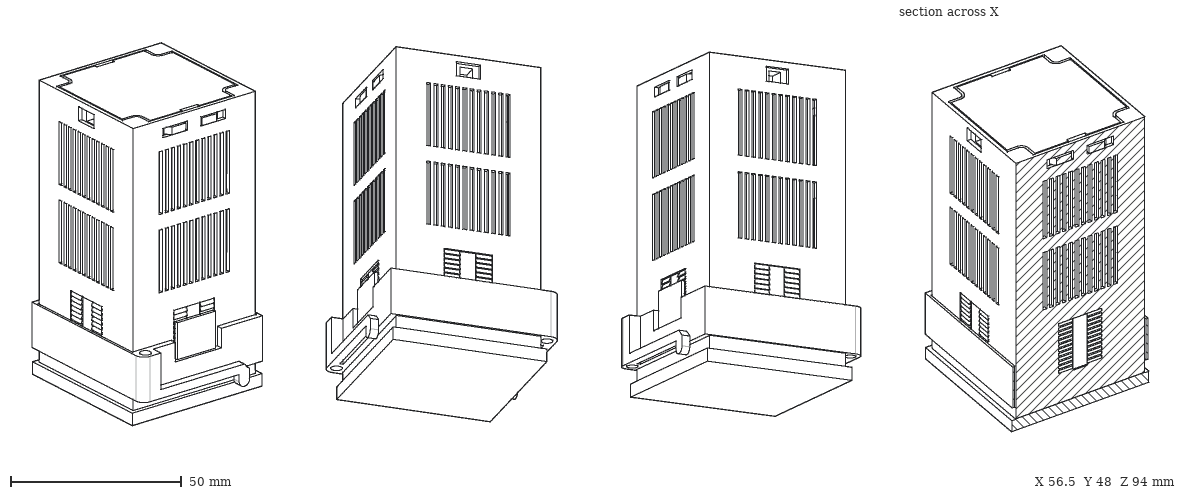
import cadquery as cq

total_height = 94.0

bezel_width = 48.0
bezel_thickness = 4.0

housing_width = 45.2
wall = 1.3
housing_half = housing_width / 2
cavity_half = housing_half - wall

slot_count = 12
slot_pitch = 2.25
slot_width = 1.2
slot_length = 20.0
slot_row_bottoms = (39.0, 64.0)

ratchet_top = 32.0
ratchet_half_width = 7.5
ratchet_center_half_width = 2.5
ratchet_depth = 0.7
tooth_pitch = 1.5
tooth_count = 12

cover_thickness = 8.0
cover_base = total_height - cover_thickness
opening_corner = 15.85
opening_corner_radius = 1.6
cover_gap = 0.4
cover_corner_gap = 0.85
cover_half = cavity_half - cover_gap
cover_corner = opening_corner - cover_corner_gap
cover_corner_radius = opening_corner_radius + cover_corner_gap

pry_half_width = 3.2
pry_run = 0.95
pry_depth = 2.0

latch_window_inner = 2.5
latch_window_outer = 11.6
latch_window_bottom = 88.2
latch_window_top = 91.1
hook_clearance = 0.5
hook_root_end = 9.85
hook_reach = 1.6

release_window_half_width = 3.7
release_window_bottom = 87.5
release_window_top = 92.0
release_pocket_half_width = 1.95
release_pocket_top = 91.2
release_pocket_depth = 5.0

bracket_bottom = 8.25
bracket_top = 22.75
bracket_half_x = 24.6
bracket_half_y = 23.7
bracket_opening_half_y = 22.9
bracket_height = bracket_top - bracket_bottom

notch_half_width = 8.5
notch_bottom = 16.5
tongue_half_width = 7.1
tongue_thickness = 1.05
tongue_top = 28.3

ear_half_x = 28.25
ear_length = 7.0
ear_radius = 2.9
ear_hole_diameter = 3.4
ear_hole_x = 25.4
ear_hole_y = 20.2
arm_thickness = 2.6
arm_top = 11.1
arm_tip_y = 16.1
arm_bevel = 1.9
foot_width = 3.85
foot_bottom = bezel_thickness

board_thickness = 1.6
board_width = 28.0
board_inner_y = 16.0


def box(x0, x1, y0, y1, z0, z1):
    """Box between two opposite corners."""
    return cq.Workplane("XY").box(x1 - x0, y1 - y0, z1 - z0, centered=False).translate((x0, y0, z0))


def turned(shape, angle):
    """Copy turned about the part's Z axis."""
    return shape.rotate((0, 0, 0), (0, 0, 1), angle)


def cross_prism(half, corner, radius, z0, z1):
    """Square prism with a smaller square, rounded inside, cut from each corner."""
    height = z1 - z0
    long_x = cq.Workplane("XY").box(2 * half, 2 * corner, height)
    long_y = cq.Workplane("XY").box(2 * corner, 2 * half, height)
    prism = long_x.union(long_y)
    at_inner_corners = cq.selectors.BoxSelector(
        (-corner - radius, -corner - radius, -height), (corner + radius, corner + radius, height)
    )
    prism = prism.edges("|Z").edges(at_inner_corners).fillet(radius)
    return prism.translate((0, 0, (z0 + z1) / 2))


def vent_slots():
    slots = cq.Workplane("XY")
    for bottom in slot_row_bottoms:
        for i in range(slot_count):
            x = (i - (slot_count - 1) / 2) * slot_pitch
            slot = box(x - slot_width / 2, x + slot_width / 2, -housing_half, -cavity_half,
                       bottom, bottom + slot_length)
            slots = slots.add(slot)
    return slots.combine()


def ratchet_recess():
    """Recess with a plain middle and a column of sawteeth on each side of it."""
    bottom = ratchet_top - tooth_count * tooth_pitch
    root = -housing_half + ratchet_depth
    recess = box(-ratchet_center_half_width, ratchet_center_half_width, -housing_half, root, bottom, ratchet_top)
    for i in range(tooth_count):
        top = ratchet_top - i * tooth_pitch
        gap_between_teeth = (
            cq.Workplane("YZ")
            .polyline([(-housing_half, top), (root, top), (-housing_half, top - tooth_pitch)])
            .close()
            .extrude(ratchet_half_width, both=True)
        )
        recess = recess.union(gap_between_teeth)
    return recess


def make_housing():
    body = box(-housing_half, housing_half, -housing_half, housing_half, bezel_thickness, total_height)
    body = body.cut(box(-cavity_half, cavity_half, -cavity_half, cavity_half, bezel_thickness, cover_base))
    body = body.cut(cross_prism(cavity_half, opening_corner, opening_corner_radius, cover_base, total_height))

    slots = vent_slots()
    recess = ratchet_recess()
    for angle in (0, 90, 180, 270):
        body = body.cut(turned(slots, angle)).cut(turned(recess, angle))

    body = body.cut(
        box(-release_window_half_width, release_window_half_width, -housing_half, housing_half,
            release_window_bottom, release_window_top)
    )
    for y0, y1 in ((latch_window_inner, latch_window_outer), (-latch_window_outer, -latch_window_inner)):
        body = body.cut(box(-housing_half, housing_half, y0, y1, latch_window_bottom, latch_window_top))
    return body


def make_bezel():
    return cq.Workplane("XY").box(bezel_width, bezel_width, bezel_thickness, centered=(True, True, False))


def cover_hook():
    """Hook on the -X side, at +Y, with a bevel on its outer end."""
    tip_x = -cover_half - hook_reach
    root_start = latch_window_inner + hook_clearance
    return (
        cq.Workplane("XY", origin=(0, 0, latch_window_bottom))
        .moveTo(-cover_half, root_start)
        .lineTo(tip_x, root_start)
        .lineTo(tip_x, hook_root_end - hook_reach)
        .lineTo(-cover_half, hook_root_end)
        .close()
        .extrude(latch_window_top - hook_clearance - latch_window_bottom)
    )


def pry_bevel():
    """Wedge cut from the -X top edge."""
    return (
        cq.Workplane("XZ")
        .polyline([
            (-cover_half, total_height),
            (-cover_half + pry_run, total_height),
            (-cover_half, total_height - pry_depth),
        ])
        .close()
        .extrude(pry_half_width, both=True)
    )


def release_pocket():
    """Pocket in the -Y side."""
    return box(-release_pocket_half_width, release_pocket_half_width,
               -cover_half, -cover_half + release_pocket_depth, release_window_bottom, release_pocket_top)


def make_cover():
    body = cross_prism(cover_half, cover_corner, cover_corner_radius, cover_base, total_height)
    hooks = cover_hook()
    hooks = hooks.union(hooks.mirror("XZ"))
    for angle in (0, 180):
        body = body.union(turned(hooks, angle))
        body = body.cut(turned(pry_bevel(), angle)).cut(turned(release_pocket(), angle))
    return body


def bracket_ear():
    """Ear at the -X, +Y corner."""
    ear = box(-ear_half_x, -housing_half, bracket_half_y - ear_length, bracket_half_y, bracket_bottom, bracket_top)
    return ear.edges("|Z and <X and >Y").fillet(ear_radius)


def ear_hole():
    return (
        cq.Workplane("XY", origin=(-ear_hole_x, ear_hole_y, bracket_bottom))
        .circle(ear_hole_diameter / 2)
        .extrude(bracket_height)
    )


def spring_arm():
    """Arm running from the -X ear toward -Y, ending in a round-tipped foot."""
    root_y = bracket_half_y - ear_length
    foot_radius = foot_width / 2
    foot_inner_y = -arm_tip_y + foot_width
    return (
        cq.Workplane("YZ", origin=(-ear_half_x, 0, 0))
        .moveTo(root_y, arm_top)
        .lineTo(-arm_tip_y + arm_bevel, arm_top)
        .lineTo(-arm_tip_y, arm_top - arm_bevel)
        .lineTo(-arm_tip_y, foot_bottom + foot_radius)
        .threePointArc((-arm_tip_y + foot_radius, foot_bottom), (foot_inner_y, foot_bottom + foot_radius))
        .lineTo(foot_inner_y, bracket_bottom)
        .lineTo(root_y, bracket_bottom)
        .close()
        .extrude(arm_thickness)
    )


def make_bracket():
    frame = box(-bracket_half_x, bracket_half_x, -bracket_half_y, bracket_half_y, bracket_bottom, bracket_top)
    opening = box(-housing_half, housing_half, -bracket_opening_half_y, bracket_opening_half_y,
                  bracket_bottom, bracket_top)
    notch = box(-bracket_half_x, bracket_half_x, -notch_half_width, notch_half_width, notch_bottom, bracket_top)
    tongue = box(-housing_half - tongue_thickness, -housing_half, -tongue_half_width, tongue_half_width,
                 notch_bottom, tongue_top)

    body = frame.cut(notch)
    for angle in (0, 180):
        body = body.union(turned(bracket_ear(), angle))
    body = body.cut(opening)
    for angle in (0, 180):
        body = body.cut(turned(ear_hole(), angle))
        body = body.union(turned(spring_arm(), angle)).union(turned(tongue, angle))
    return body


def make_board(side):
    center_y = side * (board_inner_y + board_thickness / 2)
    return (
        cq.Workplane("XY", origin=(0, center_y, bezel_thickness))
        .box(board_width, board_thickness, cover_base - bezel_thickness, centered=(True, True, False))
    )


housing = make_housing()
bezel = make_bezel()
cover = make_cover()
bracket = make_bracket()
boards = [make_board(side) for side in (-1, 1)]

bodies = [housing, bezel, cover, bracket, *boards]
result = cq.Compound.makeCompound([body.solids().val() for body in bodies])